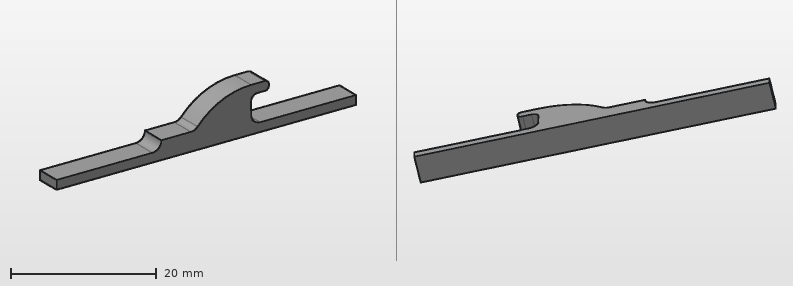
import cadquery as cq
import math

length = 50.0
width = 4.0
base_height = 1.5
step_height = 3.0
hook_height = 7.5
lip_thickness = 1.5
wall_y = 7.5
tip_y = 10.5
step_end_y = -7.5
back_radius = 12.0
root_radius = 1.5
throat_radius = 1.0

lip_bottom = hook_height - lip_thickness
tip_radius = lip_thickness / 2

back_center_z = hook_height - back_radius
blend_center_z = step_height + root_radius
center_rise = blend_center_z - back_center_z
center_run = math.sqrt((back_radius + root_radius) ** 2 - center_rise**2)
blend_center_y = wall_y - center_run
back_share = back_radius / (back_radius + root_radius)
back_end = (wall_y - center_run * back_share, back_center_z + center_rise * back_share)

profile = (
    cq.Workplane("YZ")
    .moveTo(-length / 2, 0)
    .lineTo(length / 2, 0)
    .lineTo(length / 2, base_height)
    .lineTo(wall_y + root_radius, base_height)
    .tangentArcPoint((wall_y, base_height + root_radius), relative=False)
    .lineTo(wall_y, lip_bottom - throat_radius)
    .tangentArcPoint((wall_y + throat_radius, lip_bottom), relative=False)
    .lineTo(tip_y - tip_radius, lip_bottom)
    .tangentArcPoint((tip_y - tip_radius, hook_height), relative=False)
    .lineTo(wall_y, hook_height)
    .tangentArcPoint(back_end, relative=False)
    .tangentArcPoint((blend_center_y, step_height), relative=False)
    .lineTo(step_end_y, step_height)
    .radiusArc((step_end_y - root_radius, base_height), root_radius)
    .lineTo(-length / 2, base_height)
    .close()
)

result = profile.extrude(width / 2, both=True)